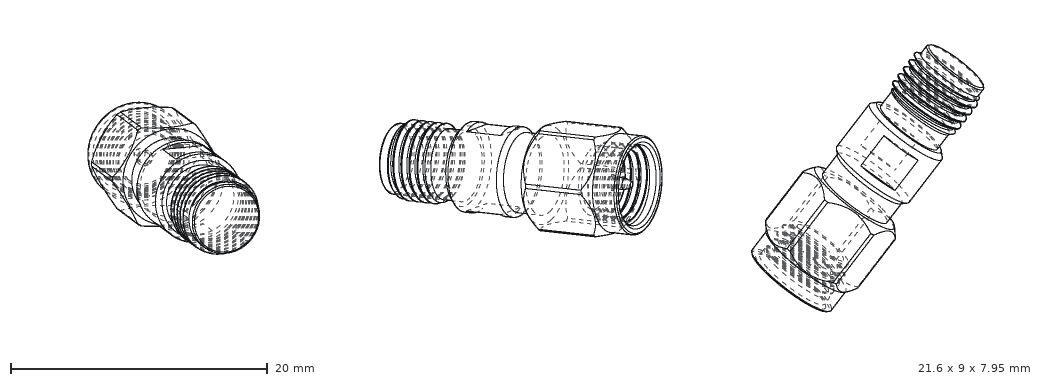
import cadquery as cq
import math


LENGTH = 21.6
EDGE_CHAMFER = 0.13

NUT_FLATS = 7.95
NUT_CORNER_RADIUS = 4.5
SLEEVE_RADIUS = 3.89
HEX_START = 2.03
HEX_END = 8.35
HEX_CHAMFER_LENGTH = 0.71

NECK_RADIUS = 3.15
COLLAR_RADIUS = 3.56
COLLAR_START = 10.32
COLLAR_END = 15.44
COLLAR_CHAMFER = COLLAR_RADIUS - NECK_RADIUS
FLAT_START = 11.38
FLAT_END = 14.4
FLAT_HEIGHT = NECK_RADIUS

PITCH = 0.71
FLANK_SLOPE = math.tan(math.radians(30))
CREST_WIDTH = PITCH / 8
THREAD_OVERLAP = 0.05

BARREL_RADIUS = 2.79
BARREL_CREST_RADIUS = 3.17
BARREL_THREAD_START = 16.95
BARREL_THREAD_END = 20.81
BARREL_HELIX_START = 16.32
BARREL_HELIX_TURNS = 7

MOUTH_RADIUS = 3.41
MOUTH_CONE_LENGTH = 0.22
LEAD_RADIUS = 3.17
LEAD_END = 0.8
SOCKET_RADIUS = 2.75
SOCKET_THREAD_RADIUS = 3.15
SOCKET_DEPTH = 3.89
SOCKET_HELIX_START = 0.5
SOCKET_HELIX_TURNS = 4

PLUG_RADIUS = 2.25
PLUG_FACE = 2.37
PLUG_CHAMFER = 0.13
PIN_RADIUS = 0.45
PIN_TIP_RADIUS = 0.24
PIN_TIP = 0.67
PIN_SHOULDER = 1.27
PIN_CLEARANCE_RADIUS = 0.63
PIN_CLEARANCE_DEPTH = 0.13


def turned(profile):
    """Revolve (x, radius) points about X, closing the outline along the axis."""
    outline = [(profile[0][0], 0), *profile, (profile[-1][0], 0)]
    return cq.Workplane("XY").polyline(outline).close().revolve(360, (0, 0), (1, 0))


def cylinder(start, end, radius):
    return turned([(start, radius), (end, radius)])


def helical_ridge(root_radius, crest_radius, start, turns):
    """Right-handed V ridge around X, its crest starting at the -Z side."""
    inner_radius = root_radius - THREAD_OVERLAP
    crest_half = CREST_WIDTH / 2
    base_half = crest_half + (crest_radius - inner_radius) * FLANK_SLOPE
    helix = cq.Wire.makeHelix(PITCH, PITCH * turns, inner_radius)
    ridge = (
        cq.Workplane("XZ")
        .polyline([
            (inner_radius, -base_half),
            (crest_radius, -crest_half),
            (crest_radius, crest_half),
            (inner_radius, base_half),
        ])
        .close()
        .sweep(cq.Workplane(helix), isFrenet=True)
    )
    return ridge.rotate((0, 0, 0), (0, 1, 0), 90).translate((start, 0, 0))


def make_nut():
    sleeve = turned([
        (0, SLEEVE_RADIUS - EDGE_CHAMFER),
        (EDGE_CHAMFER, SLEEVE_RADIUS),
        (HEX_START, SLEEVE_RADIUS),
    ])
    across_corners = NUT_FLATS / math.cos(math.radians(30))
    hexagon = (
        cq.Workplane("YZ", origin=(HEX_START, 0, 0))
        .polygon(6, across_corners)
        .extrude(HEX_END - HEX_START)
    )
    rounded_corners = turned([
        (HEX_START, SLEEVE_RADIUS),
        (HEX_START + HEX_CHAMFER_LENGTH, NUT_CORNER_RADIUS),
        (HEX_END - HEX_CHAMFER_LENGTH, NUT_CORNER_RADIUS),
        (HEX_END, SLEEVE_RADIUS),
    ])
    return sleeve.union(hexagon.intersect(rounded_corners))


def make_body():
    body = turned([
        (HEX_END, NECK_RADIUS),
        (COLLAR_START, NECK_RADIUS),
        (COLLAR_START + COLLAR_CHAMFER, COLLAR_RADIUS),
        (COLLAR_END - COLLAR_CHAMFER, COLLAR_RADIUS),
        (COLLAR_END, NECK_RADIUS),
        (COLLAR_END, BARREL_RADIUS),
        (LENGTH - EDGE_CHAMFER, BARREL_RADIUS),
        (LENGTH, BARREL_RADIUS - EDGE_CHAMFER),
    ])
    flat_length = FLAT_END - FLAT_START
    flat_depth = COLLAR_RADIUS - FLAT_HEIGHT
    slab = cq.Workplane("XY").box(flat_length, 2 * COLLAR_RADIUS, flat_depth)
    for side in (1, -1):
        centre = ((FLAT_START + FLAT_END) / 2, 0, side * (FLAT_HEIGHT + flat_depth / 2))
        body = body.cut(slab.translate(centre))
    return body


def make_barrel_thread():
    """Helical ridge trimmed by a 45 degree lead-in at each end."""
    envelope_radius = BARREL_CREST_RADIUS + THREAD_OVERLAP
    lead_in = envelope_radius - BARREL_RADIUS
    envelope = turned([
        (BARREL_THREAD_START, BARREL_RADIUS),
        (BARREL_THREAD_START + lead_in, envelope_radius),
        (BARREL_THREAD_END - lead_in, envelope_radius),
        (BARREL_THREAD_END, BARREL_RADIUS),
    ])
    ridge = helical_ridge(BARREL_RADIUS, BARREL_CREST_RADIUS, BARREL_HELIX_START, BARREL_HELIX_TURNS)
    return ridge.intersect(envelope)


def make_socket():
    """Solid to remove from the nut: flared mouth, plain lead-in and threaded bore."""
    throat_start = LEAD_END + LEAD_RADIUS - SOCKET_RADIUS
    bore = turned([
        (0, MOUTH_RADIUS),
        (MOUTH_CONE_LENGTH, LEAD_RADIUS),
        (LEAD_END, LEAD_RADIUS),
        (throat_start, SOCKET_RADIUS),
        (SOCKET_DEPTH, SOCKET_RADIUS),
    ])
    groove = helical_ridge(SOCKET_RADIUS, SOCKET_THREAD_RADIUS, SOCKET_HELIX_START, SOCKET_HELIX_TURNS)
    return bore.union(groove)


def make_plug():
    plug = turned([
        (PLUG_FACE, PLUG_RADIUS - PLUG_CHAMFER),
        (PLUG_FACE + PLUG_CHAMFER, PLUG_RADIUS),
        (SOCKET_DEPTH, PLUG_RADIUS),
    ])
    clearance = cylinder(PLUG_FACE, PLUG_FACE + PIN_CLEARANCE_DEPTH, PIN_CLEARANCE_RADIUS)
    pin = turned([
        (PIN_TIP, PIN_TIP_RADIUS),
        (PIN_SHOULDER, PIN_RADIUS),
        (SOCKET_DEPTH, PIN_RADIUS),
    ])
    return plug.cut(clearance).union(pin)


shell = make_nut().union(make_body()).cut(make_socket())
result = shell.union(make_plug()).union(make_barrel_thread())